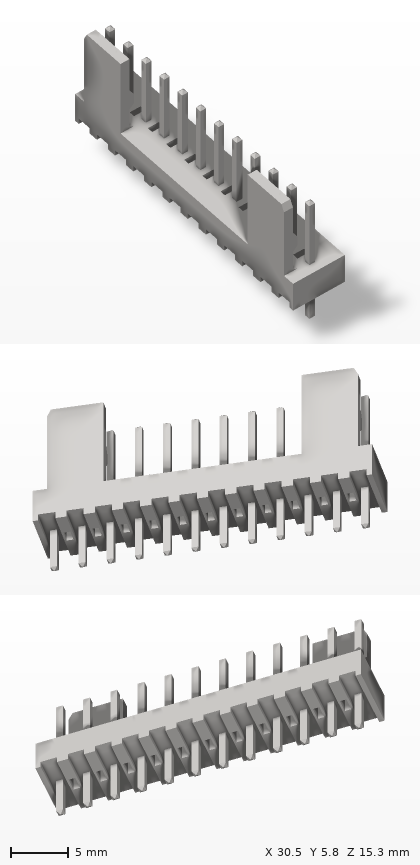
import cadquery as cq

body_length = 30.48
pin_count = 12
pitch = body_length / pin_count
pin_width = 0.65
pin_bottom = -3.55
pin_top = 10.67
pin_tip_height = 0.25
pin_tip_end_width = 0.1

body_depth = 5.8
body_height = 3.25
front_y = -body_depth / 2

foot_width = 1.0
groove_width = pitch - foot_width
groove_height = 0.65

slot_width = 0.6
slot_depth = 1.22

tab_pitches = 2
tab_width = tab_pitches * pitch
tab_height = 8.47
tab_thickness = 1.0
tab_corner_width = 0.37
tab_corner_height = 0.73

latch_depth = 1.5
latch_bottom = 2.32
latch_flat_bottom = 2.8
latch_flat_top = 3.9
latch_top = 4.63

root_radius = 0.52

pin_positions = [(i - (pin_count - 1) / 2) * pitch for i in range(pin_count)]
slot_positions = [x + pitch / 2 for x in pin_positions[:-1]]


def make_body():
    body = cq.Workplane("XY").box(body_length, body_depth, body_height, centered=(True, True, False))
    grooves = (
        cq.Workplane("XY")
        .pushPoints([(x, 0) for x in pin_positions])
        .rect(groove_width, body_depth)
        .extrude(groove_height)
    )
    slots = (
        cq.Workplane("XY")
        .pushPoints([(x, 0) for x in slot_positions])
        .rect(slot_width, slot_depth)
        .extrude(body_height)
    )
    return body.cut(grooves).cut(slots)


def make_pin_tip(base_z, end_z):
    """Tapered tip from the full pin section at base_z to the small end at end_z."""
    return (
        cq.Workplane("XY", origin=(0, 0, base_z))
        .rect(pin_width, pin_width)
        .workplane(offset=end_z - base_z)
        .rect(pin_tip_end_width, pin_tip_end_width)
        .loft(ruled=True)
    )


def make_pin():
    shank_bottom = pin_bottom + pin_tip_height
    shank_top = pin_top - pin_tip_height
    shank = (
        cq.Workplane("XY", origin=(0, 0, shank_bottom))
        .rect(pin_width, pin_width)
        .extrude(shank_top - shank_bottom)
    )
    return shank.union(make_pin_tip(shank_bottom, pin_bottom)).union(make_pin_tip(shank_top, pin_top))


def make_left_tab():
    """Tab profile in the YZ plane, run along X, with its outer top corner cut off."""
    outer_x = pin_positions[0]
    tab = (
        cq.Workplane("YZ", origin=(outer_x, front_y, body_height))
        .lineTo(tab_thickness + root_radius, 0)
        .radiusArc((tab_thickness, root_radius), root_radius)
        .lineTo(tab_thickness, latch_bottom)
        .lineTo(latch_depth, latch_flat_bottom)
        .lineTo(latch_depth, latch_flat_top)
        .lineTo(tab_thickness, latch_top)
        .lineTo(tab_thickness, tab_height)
        .lineTo(0, tab_height)
        .close()
        .extrude(tab_width)
    )
    corner = (
        cq.Workplane("XZ", origin=(outer_x, front_y, body_height + tab_height))
        .polyline([(0, 0), (tab_corner_width, 0), (0, -tab_corner_height)])
        .close()
        .extrude(-tab_thickness)
    )
    return tab.cut(corner)


result = make_body()

left_tab = make_left_tab()
result = result.union(left_tab).union(left_tab.mirror("YZ"))

pin = make_pin()
for pin_x in pin_positions:
    result = result.union(pin.translate((pin_x, 0, 0)))